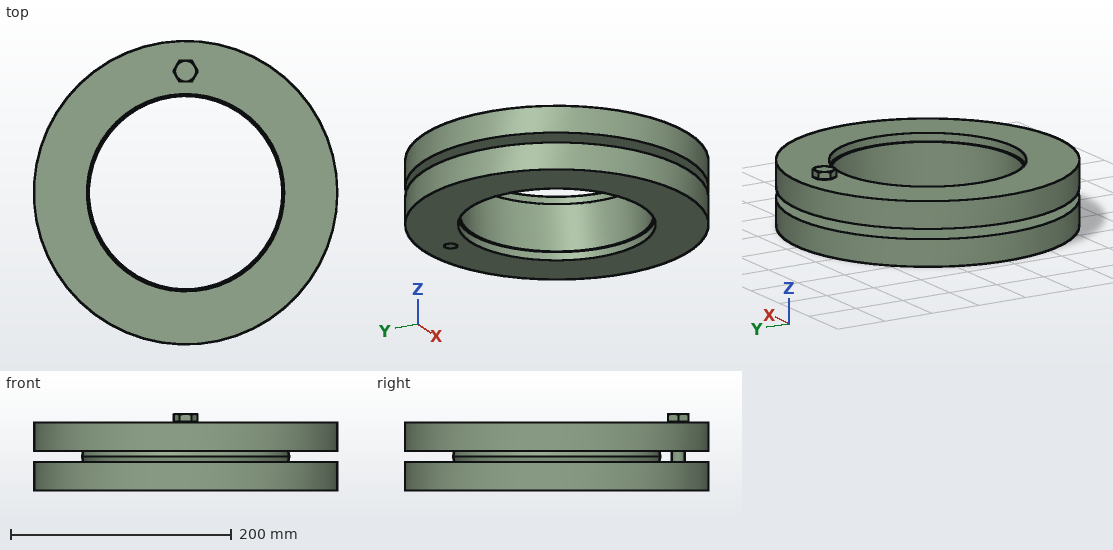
import cadquery as cq
import math

flange_diameter = 275.0
flange_bore = 178.8
flange_thickness = 26.0
flange_gap = 9.5
flange_outer_z = flange_gap / 2 + flange_thickness

ring_bore = 175.0
ring_crest_diameter = 187.8
ring_end_diameter = flange_bore
ring_recess = 8.0
ring_half_height = flange_outer_z - ring_recess

bolt_offset = 110.0
shank_diameter = 12.0
washer_face_diameter = 17.3
washer_face_height = 0.5
head_sides = 6
head_across_flats = 19.0
head_height = 7.2
head_chamfer_angle = 30.0
head_across_corners = head_across_flats / math.cos(math.radians(180 / head_sides))
head_chamfer_width = (head_across_corners - head_across_flats) / 2
head_chamfer_drop = head_chamfer_width * math.tan(math.radians(head_chamfer_angle))
bolt_end_z = -flange_outer_z


def cylinder(diameter, bottom, top):
    """Return a cylinder about the Z axis between two heights."""
    return cq.Workplane("XY").workplane(offset=bottom).circle(diameter / 2).extrude(top - bottom)


def make_ring_envelope():
    """Return the solid double cone that bounds the seal ring."""
    crest_radius = ring_crest_diameter / 2
    end_radius = ring_end_diameter / 2
    half_section = [
        (0, -ring_half_height),
        (end_radius, -ring_half_height),
        (crest_radius, 0),
        (end_radius, ring_half_height),
        (0, ring_half_height),
    ]
    return cq.Workplane("XZ").polyline(half_section).close().revolve(360, (0, 0), (0, 1))


def make_upper_flange():
    """Flange with a plain bore, a conical seat for the ring and a bolt hole."""
    flange = cylinder(flange_diameter, flange_gap / 2, flange_outer_z)
    bore = cylinder(flange_bore, flange_gap / 2, flange_outer_z)
    bolt_hole = cylinder(shank_diameter, flange_gap / 2, flange_outer_z).translate((0, bolt_offset, 0))
    return flange.cut(bore).cut(make_ring_envelope()).cut(bolt_hole)


def make_lower_flange():
    """Mirror image of the upper flange."""
    return make_upper_flange().mirror("XY")


def make_seal_ring():
    """Double-cone ring with a straight bore."""
    bore = cylinder(ring_bore, -ring_half_height, ring_half_height)
    return make_ring_envelope().cut(bore)


def make_bolt_head(bottom):
    """Hexagon with its upper corners cut away by a cone."""
    top = bottom + head_height
    hexagon = (
        cq.Workplane("XY").workplane(offset=bottom)
        .polygon(head_sides, head_across_corners).extrude(head_height)
    )
    envelope = cylinder(head_across_corners, bottom, top).faces(">Z").chamfer(
        head_chamfer_drop, head_chamfer_width
    )
    return hexagon.intersect(envelope)


def make_bolt():
    """Bolt with a round washer face under its hexagonal head."""
    head_bottom = flange_outer_z + washer_face_height
    shank = cylinder(shank_diameter, bolt_end_z, flange_outer_z)
    washer_face = cylinder(washer_face_diameter, flange_outer_z, head_bottom)
    bolt = shank.union(washer_face).union(make_bolt_head(head_bottom))
    return bolt.translate((0, bolt_offset, 0))


upper_flange = make_upper_flange()
lower_flange = make_lower_flange()
seal_ring = make_seal_ring()
bolt = make_bolt()

result = cq.Compound.makeCompound([
    upper_flange.solids().val(),
    lower_flange.solids().val(),
    seal_ring.solids().val(),
    bolt.solids().val(),
])